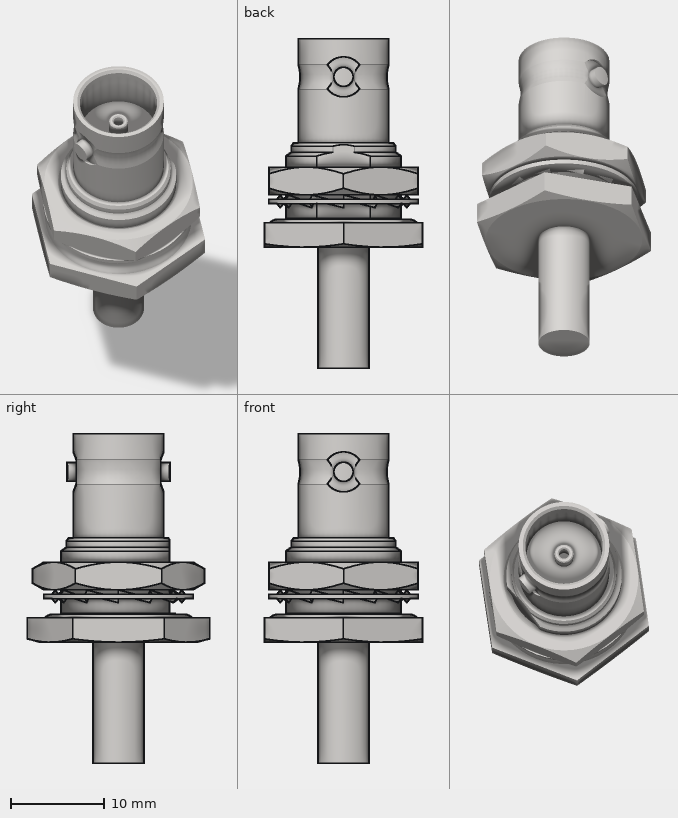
import cadquery as cq
import math

TOTAL_HEIGHT = 35.4
TAIL_RADIUS = 2.75

FLANGE_ACROSS_FLATS = 17.0
FLANGE_BOTTOM = 13.0
FLANGE_TOP = 15.65
FLANGE_CHAMFER_RADIUS = 8.4
FLANGE_CHAMFER_ANGLE = 15.0

BEAD_OUTER_RADIUS = 7.9
BEAD_HEIGHT = 0.38
NECK_RADIUS = 6.1
BEAD_CREST_RADIUS = (BEAD_OUTER_RADIUS + NECK_RADIUS) / 2

THREAD_RADIUS = 6.2
THREAD_BOTTOM = 16.1
THREAD_TOP = 22.8
FLAT_DISTANCE = 5.5
STEP_RADIUS = 5.62
STEP_BOTTOM = 23.2
STEP_TOP = 24.2
STEP_CHAMFER = 0.25
STEP_CHAMFER_HEIGHT = 0.35

BARREL_RADIUS = 4.87
GROOVE_CENTRE = 31.3
GROOVE_HALF_WIDTH = 1.33
GROOVE_DEPTH = 0.2
SPOTFACE_RADIUS = 2.15
SPOTFACE_DISTANCE = 4.54
PIN_RADIUS = 1.03
PIN_REACH = 5.53

SOCKET_MOUTH_RADIUS = 4.15
SOCKET_FLOOR_RADIUS = 4.05
SOCKET_DEPTH = 5.0
SOCKET_CHAMFER = 0.28
SOCKET_FLOOR = TOTAL_HEIGHT - SOCKET_DEPTH
CONTACT_RADIUS = 1.0
CONTACT_TOP = 32.15
CONTACT_CHAMFER = 0.12
CONTACT_HOLE_RADIUS = 0.53
CONTACT_HOLE_CHAMFER = 0.15
CONTACT_HOLE_DEPTH = CONTACT_TOP - SOCKET_FLOOR

NUT_ACROSS_FLATS = 16.0
NUT_BOTTOM = 18.62
NUT_HEIGHT = 3.0
NUT_CHAMFER_RADIUS = 7.97
NUT_CHAMFER_ANGLE = 30.0
NUT_BORE_RADIUS = 5.87
NUT_BORE_CHAMFER = 0.62
NUT_BORE_CHAMFER_HEIGHT = NUT_BORE_CHAMFER * math.tan(math.radians(30))

WASHER_RADIUS = 8.05
WASHER_BORE_RADIUS = 6.25
WASHER_THICKNESS = 0.48
WASHER_MIDDLE = 17.93
TOOTH_COUNT = 12
TOOTH_RADIUS = 6.8
TOOTH_HALF_WIDTH = 0.53
TOOTH_HEIGHT = 0.68
TOOTH_SWEEP = 24.0


def cylinder(radius, bottom, top):
    return cq.Workplane("XY").workplane(offset=bottom).circle(radius).extrude(top - bottom)


def hexagon(across_flats, bottom, top):
    """Hexagonal prism with corners on the Y axis."""
    across_corners = across_flats / math.cos(math.radians(30))
    prism = cq.Workplane("XY").polygon(6, across_corners).extrude(top - bottom)
    return prism.rotate((0, 0, 0), (0, 0, 1), 30).translate((0, 0, bottom))


def corner_chamfer(across_flats, chamfer_radius, angle):
    """Corner radius of a hexagon, and the height its conical chamfer takes off there."""
    corner_radius = across_flats / 2 / math.cos(math.radians(30))
    return corner_radius, (corner_radius - chamfer_radius) * math.tan(math.radians(angle))


def revolve_profile(profile):
    return profile.close().revolve(360, (0, 0, 0), (0, 1, 0))


def make_flange():
    corner_radius, drop = corner_chamfer(FLANGE_ACROSS_FLATS, FLANGE_CHAMFER_RADIUS, FLANGE_CHAMFER_ANGLE)
    envelope = revolve_profile(
        cq.Workplane("XZ")
        .moveTo(0, FLANGE_BOTTOM)
        .lineTo(FLANGE_CHAMFER_RADIUS, FLANGE_BOTTOM)
        .lineTo(corner_radius, FLANGE_BOTTOM + drop)
        .lineTo(corner_radius, FLANGE_TOP)
        .lineTo(0, FLANGE_TOP)
    )
    return hexagon(FLANGE_ACROSS_FLATS, FLANGE_BOTTOM, FLANGE_TOP).intersect(envelope)


def make_neck_and_bead():
    return revolve_profile(
        cq.Workplane("XZ")
        .moveTo(0, FLANGE_TOP)
        .lineTo(BEAD_OUTER_RADIUS, FLANGE_TOP)
        .threePointArc((BEAD_CREST_RADIUS, FLANGE_TOP + BEAD_HEIGHT), (NECK_RADIUS, FLANGE_TOP))
        .lineTo(NECK_RADIUS, THREAD_BOTTOM)
        .lineTo(0, THREAD_BOTTOM)
    )


def make_thread():
    thread = revolve_profile(
        cq.Workplane("XZ")
        .moveTo(0, THREAD_BOTTOM)
        .lineTo(THREAD_RADIUS, THREAD_BOTTOM)
        .lineTo(THREAD_RADIUS, THREAD_TOP)
        .lineTo(STEP_RADIUS, STEP_BOTTOM)
        .lineTo(STEP_RADIUS, STEP_TOP - STEP_CHAMFER_HEIGHT)
        .lineTo(STEP_RADIUS - STEP_CHAMFER, STEP_TOP)
        .lineTo(0, STEP_TOP)
    )
    beyond_flat = (
        cq.Workplane("XY")
        .box(2 * THREAD_RADIUS, THREAD_RADIUS, STEP_TOP - THREAD_BOTTOM, centered=(True, False, False))
        .translate((0, FLAT_DISTANCE, THREAD_BOTTOM))
    )
    return thread.cut(beyond_flat)


def make_barrel():
    """Barrel with its ring groove and the two flat spotfaces around the pins."""
    barrel = revolve_profile(
        cq.Workplane("XZ")
        .moveTo(0, STEP_TOP)
        .lineTo(BARREL_RADIUS, STEP_TOP)
        .lineTo(BARREL_RADIUS, GROOVE_CENTRE - GROOVE_HALF_WIDTH)
        .threePointArc(
            (BARREL_RADIUS - GROOVE_DEPTH, GROOVE_CENTRE),
            (BARREL_RADIUS, GROOVE_CENTRE + GROOVE_HALF_WIDTH),
        )
        .lineTo(BARREL_RADIUS, TOTAL_HEIGHT)
        .lineTo(0, TOTAL_HEIGHT)
    )
    spotface_cutter = (
        cq.Workplane("XZ")
        .center(0, GROOVE_CENTRE)
        .circle(SPOTFACE_RADIUS)
        .extrude(BARREL_RADIUS, both=True)
    )
    kept_core = cq.Workplane("XY").box(2 * BARREL_RADIUS, 2 * SPOTFACE_DISTANCE, 2 * TOTAL_HEIGHT)
    return barrel.cut(spotface_cutter.cut(kept_core))


def make_pins():
    """Bar through the barrel that leaves one bayonet pin on each side."""
    bar = cq.Workplane("XZ").center(0, GROOVE_CENTRE).circle(PIN_RADIUS).extrude(PIN_REACH, both=True)
    return bar.intersect(cylinder(PIN_REACH, STEP_TOP, TOTAL_HEIGHT))


def make_socket():
    return revolve_profile(
        cq.Workplane("XZ")
        .moveTo(0, SOCKET_FLOOR)
        .lineTo(SOCKET_FLOOR_RADIUS, SOCKET_FLOOR)
        .lineTo(SOCKET_MOUTH_RADIUS, TOTAL_HEIGHT - SOCKET_CHAMFER)
        .lineTo(SOCKET_MOUTH_RADIUS + SOCKET_CHAMFER, TOTAL_HEIGHT)
        .lineTo(0, TOTAL_HEIGHT)
    )


def make_contact():
    contact = cylinder(CONTACT_RADIUS, SOCKET_FLOOR, CONTACT_TOP).faces(">Z").chamfer(CONTACT_CHAMFER)
    hole_bottom = CONTACT_TOP - CONTACT_HOLE_DEPTH
    hole = revolve_profile(
        cq.Workplane("XZ")
        .moveTo(0, hole_bottom)
        .lineTo(CONTACT_HOLE_RADIUS, hole_bottom)
        .lineTo(CONTACT_HOLE_RADIUS, CONTACT_TOP - CONTACT_HOLE_CHAMFER)
        .lineTo(CONTACT_HOLE_RADIUS + CONTACT_HOLE_CHAMFER, CONTACT_TOP)
        .lineTo(0, CONTACT_TOP)
    )
    return contact.cut(hole)


def make_connector():
    outside = (
        cylinder(TAIL_RADIUS, 0, FLANGE_BOTTOM)
        .union(make_flange())
        .union(make_neck_and_bead())
        .union(make_thread())
        .union(make_barrel())
        .union(make_pins())
    )
    return outside.cut(make_socket()).union(make_contact())


def make_nut():
    """Nut whose bore matches the thread it sits on, so a lip is left over the thread's flat."""
    top = NUT_BOTTOM + NUT_HEIGHT
    corner_radius, drop = corner_chamfer(NUT_ACROSS_FLATS, NUT_CHAMFER_RADIUS, NUT_CHAMFER_ANGLE)
    mouth_radius = NUT_BORE_RADIUS + NUT_BORE_CHAMFER
    envelope = revolve_profile(
        cq.Workplane("XZ")
        .moveTo(NUT_BORE_RADIUS, NUT_BOTTOM + NUT_BORE_CHAMFER_HEIGHT)
        .lineTo(mouth_radius, NUT_BOTTOM)
        .lineTo(NUT_CHAMFER_RADIUS, NUT_BOTTOM)
        .lineTo(corner_radius, NUT_BOTTOM + drop)
        .lineTo(corner_radius, top - drop)
        .lineTo(NUT_CHAMFER_RADIUS, top)
        .lineTo(mouth_radius, top)
        .lineTo(NUT_BORE_RADIUS, top - NUT_BORE_CHAMFER_HEIGHT)
    )
    return hexagon(NUT_ACROSS_FLATS, NUT_BOTTOM, top).intersect(envelope).cut(make_thread())


def make_tooth(start_angle, direction):
    """Tetrahedral tooth: steep at the start angle, running out to a point on the washer's middle plane.

    Direction +1 raises the tooth and runs it counterclockwise; -1 lowers it and runs it clockwise.
    """
    start = math.radians(start_angle)
    end = math.radians(start_angle + direction * TOOTH_SWEEP)

    def point(radius, angle, height):
        return cq.Vector(radius * math.cos(angle), radius * math.sin(angle), WASHER_MIDDLE + height)

    inner = point(TOOTH_RADIUS - TOOTH_HALF_WIDTH, start, 0)
    outer = point(TOOTH_RADIUS + TOOTH_HALF_WIDTH, start, 0)
    peak = point(TOOTH_RADIUS, start, direction * TOOTH_HEIGHT)
    tip = point(TOOTH_RADIUS, end, 0)
    triangles = [(inner, outer, peak), (inner, outer, tip), (outer, peak, tip), (peak, inner, tip)]
    faces = [cq.Face.makeFromWires(cq.Wire.makePolygon(list(corners), close=True)) for corners in triangles]
    return cq.Workplane(obj=cq.Solid.makeSolid(cq.Shell.makeShell(faces)))


def make_washer():
    bottom = WASHER_MIDDLE - WASHER_THICKNESS / 2
    top = WASHER_MIDDLE + WASHER_THICKNESS / 2
    ring = cylinder(WASHER_RADIUS, bottom, top)
    for index in range(TOOTH_COUNT):
        angle = index * 360 / TOOTH_COUNT
        for direction in (1, -1):
            ring = ring.union(make_tooth(angle, direction))
    return ring.cut(cylinder(WASHER_BORE_RADIUS, bottom - TOOTH_HEIGHT, top + TOOTH_HEIGHT))


connector = make_connector()
nut = make_nut()
washer = make_washer()

result = cq.Compound.makeCompound([connector.solids().val(), nut.solids().val(), washer.solids().val()])